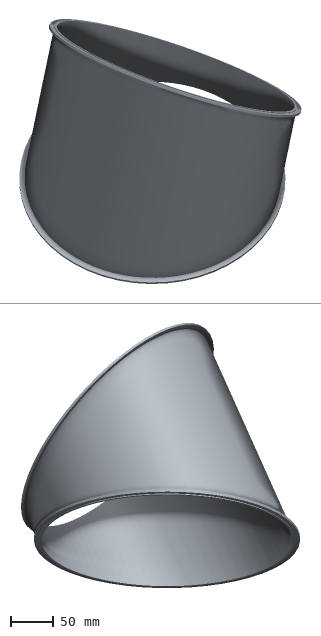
import cadquery as cq
import math

bend_angle = 45.0
flange_diameter = 316.0
flange_thickness = 3.0
tube_diameter = 304.2
wall = 3.0
lip = 1.0
upper_offset = 61.0

lean = bend_angle / 2
lean_sin = math.sin(math.radians(lean))
lean_cos = math.cos(math.radians(lean))
axis_length = upper_offset / lean_sin
axis_direction = cq.Vector(0, lean_sin, lean_cos)
upper_centre = axis_direction * axis_length
upper_normal = cq.Vector(
    0, math.sin(math.radians(bend_angle)), math.cos(math.radians(bend_angle))
)

lower_face = cq.Plane(origin=(0, 0, 0), xDir=(1, 0, 0), normal=(0, 0, -1))
upper_face = cq.Plane(origin=upper_centre, xDir=(1, 0, 0), normal=upper_normal)


def leaning_prism(diameter):
    """Elliptical prism whose cut by either flange plane is a circle."""
    overrun = diameter
    start = cq.Plane(
        origin=axis_direction * -overrun, xDir=(1, 0, 0), normal=axis_direction
    )
    radius = diameter / 2
    return (
        cq.Workplane(start)
        .ellipse(radius, radius * lean_cos)
        .extrude(axis_length + 2 * overrun)
    )


def end_trim(face):
    """Block removing everything beyond the tube lip at one flange."""
    size = 4 * flange_diameter
    return cq.Workplane(face).workplane(offset=lip).rect(size, size).extrude(size)


def flange(face):
    """Disc reaching from the flange's outer face into the part."""
    return cq.Workplane(face).circle(flange_diameter / 2).extrude(-flange_thickness)


tube = leaning_prism(tube_diameter)
for face in (lower_face, upper_face):
    tube = tube.cut(end_trim(face))

body = tube
for face in (lower_face, upper_face):
    body = body.union(flange(face))

bore = leaning_prism(tube_diameter - 2 * wall)
result = body.cut(bore)